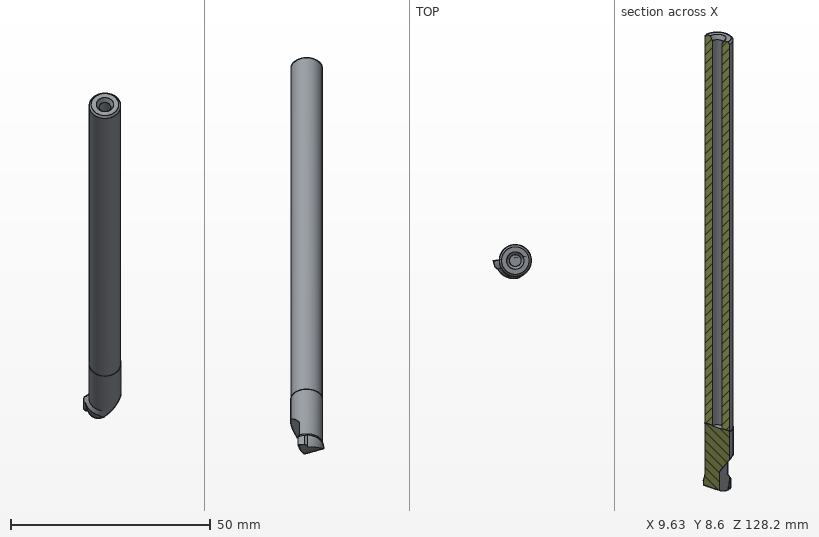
import cadquery as cq
import math

TOTAL_LENGTH = 128.2
HEAD_LENGTH = 19.2

SHANK_DIAMETER = 8.0
END_CHAMFER = 0.5
BORE_DIAMETER = 3.0
BORE_MOUTH_DIAMETER = 4.4
BORE_MOUTH_DEPTH = 1.2

HEAD_DIAMETER = 8.1
HEAD_RADIUS = HEAD_DIAMETER / 2
NOSE_BEVEL = 0.3
RELIEF_MIDPOINT = (0.5, 2.0)
RELIEF_TOP = 6.5

NOSE_X = -5.58
LAND_END = (-5.1, -1.7)
HEEL = (-4.4, -2.2)
FLARE_CENTRE = (-0.4, 0.0)
FLARE_RADIUS = 4.55
FLARE_BASE_RADIUS = 3.8
FLARE_BULGE_TOP = 3.1

CONE_TOP = 4.6
CONE_BASE_CENTRE = (-2.3, -0.1)
CONE_BASE_RADIUS = 5.5

RAKE_SLOPE = 0.13
POCKET_SLOPE_X = 0.45
POCKET_SLOPE_Z = 0.75
POCKET_TOP = 11.9

REACH = 3 * HEAD_DIAMETER


def make_shank():
    """Round shank with a through bore, closed at its lower end by the head."""
    shank = (
        cq.Workplane("XY")
        .workplane(offset=HEAD_LENGTH)
        .circle(SHANK_DIAMETER / 2)
        .extrude(TOTAL_LENGTH - HEAD_LENGTH)
        .faces(">Z")
        .chamfer(END_CHAMFER)
    )
    bore = (
        cq.Workplane("XY")
        .workplane(offset=HEAD_LENGTH)
        .circle(BORE_DIAMETER / 2)
        .extrude(TOTAL_LENGTH - HEAD_LENGTH)
    )
    mouth = (
        cq.Workplane("XY")
        .workplane(offset=TOTAL_LENGTH)
        .circle(BORE_MOUTH_DIAMETER / 2)
        .workplane(offset=-BORE_MOUTH_DEPTH)
        .circle(BORE_DIAMETER / 2)
        .loft(ruled=True)
    )
    return shank.cut(bore).cut(mouth)


def head_outline():
    """Side outline of the head, with the curved relief under the nose."""
    return (
        cq.Workplane("XZ")
        .moveTo(NOSE_X + NOSE_BEVEL, 0)
        .threePointArc(RELIEF_MIDPOINT, (HEAD_RADIUS, RELIEF_TOP))
        .lineTo(HEAD_RADIUS, HEAD_LENGTH)
        .lineTo(NOSE_X, HEAD_LENGTH)
        .lineTo(NOSE_X, NOSE_BEVEL)
        .close()
        .extrude(REACH, both=True)
    )


def make_flare():
    """Round body of the tip, curving inward toward its underside."""
    tuck = FLARE_RADIUS - FLARE_BASE_RADIUS
    bulge_radius = (FLARE_BULGE_TOP**2 + tuck**2) / (2 * tuck)
    return (
        cq.Workplane("XZ")
        .lineTo(FLARE_BASE_RADIUS, 0)
        .radiusArc((FLARE_RADIUS, FLARE_BULGE_TOP), -bulge_radius)
        .lineTo(FLARE_RADIUS, CONE_TOP)
        .lineTo(0, CONE_TOP)
        .close()
        .revolve(360, (0, 0), (0, 1))
        .translate((*FLARE_CENTRE, 0))
    )


def make_nose():
    """Wedge that carries the cutting point, with a narrow land and a clearance face behind it."""
    return cq.Workplane("XY").polyline([(NOSE_X, 0), LAND_END, HEEL, (0, 0)]).close().extrude(CONE_TOP)


def blend_cone():
    """Leaning cone whose upper end is the round section of the bar."""
    return (
        cq.Workplane("XY")
        .center(*CONE_BASE_CENTRE)
        .circle(CONE_BASE_RADIUS)
        .workplane(offset=CONE_TOP)
        .center(-CONE_BASE_CENTRE[0], -CONE_BASE_CENTRE[1])
        .circle(HEAD_RADIUS)
        .loft(ruled=True)
    )


def rake_cut():
    """Everything on the +Y side of the tilted rake face."""
    far_x = NOSE_X + REACH
    return (
        cq.Workplane("XY")
        .polyline(
            [
                (NOSE_X, 0),
                (far_x, RAKE_SLOPE * REACH),
                (far_x, REACH),
                (NOSE_X, REACH),
            ]
        )
        .close()
        .extrude(HEAD_LENGTH)
    )


def slope_cut():
    """Everything below and in front of the sloping back wall of the chip pocket."""
    wall_normal = (-POCKET_SLOPE_X, 1, -POCKET_SLOPE_Z)
    lean = math.atan(POCKET_SLOPE_X)
    top_x = -HEAD_RADIUS * math.sin(lean)
    top_y = HEAD_RADIUS * math.cos(lean)
    wall = cq.Plane(origin=(top_x, top_y, POCKET_TOP), normal=wall_normal)
    return cq.Workplane(wall).rect(2 * REACH, 2 * REACH).extrude(REACH)


def make_head():
    bar = cq.Workplane("XY").workplane(offset=CONE_TOP).circle(HEAD_RADIUS).extrude(HEAD_LENGTH - CONE_TOP)
    tip = make_flare().union(make_nose()).intersect(blend_cone())
    blank = bar.union(tip).intersect(head_outline())
    chip_pocket = rake_cut().intersect(slope_cut())
    return blank.cut(chip_pocket)


shank = make_shank()
head = make_head()
result = cq.Compound.makeCompound([shank.solids().val(), head.solids().val()])